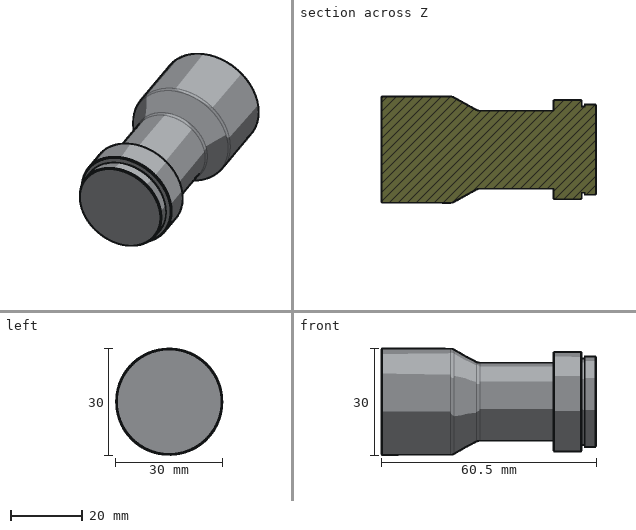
import cadquery as cq

total_length = 60.5
head_end = 19.95
taper_end = 27.15
collar_start = 48.45
collar_end = 56.45
groove_width = 0.8
groove_end = collar_end + groove_width

head_radius = 15.0
neck_radius = 11.0
collar_radius = 14.05
groove_radius = 12.2
flange_radius = 12.75

edge_chamfer = 0.3
taper_blend_radius = 2.0


def cylinder(start, end, radius):
    """Solid cylinder around the X axis between two stations."""
    return cq.Workplane("YZ", origin=(start, 0, 0)).circle(radius).extrude(end - start)


stem_profile = [
    (0, 0),
    (0, head_radius),
    (head_end, head_radius),
    (taper_end, neck_radius),
    (collar_start, neck_radius),
    (collar_start, 0),
]
stem = cq.Workplane("XY").polyline(stem_profile).close().revolve(360, (0, 0, 0), (1, 0, 0))
stem = stem.faces("<X").chamfer(edge_chamfer)
taper_edges = stem.faces("%CONE").faces(">X").edges("%CIRCLE")
stem = taper_edges.fillet(taper_blend_radius)

collar = cylinder(collar_start, collar_end, collar_radius).edges("%CIRCLE").chamfer(edge_chamfer)

groove = cylinder(collar_end, groove_end, groove_radius)
flange = cylinder(groove_end, total_length, flange_radius).faces(">X").chamfer(edge_chamfer)

result = stem.union(collar).union(groove).union(flange)